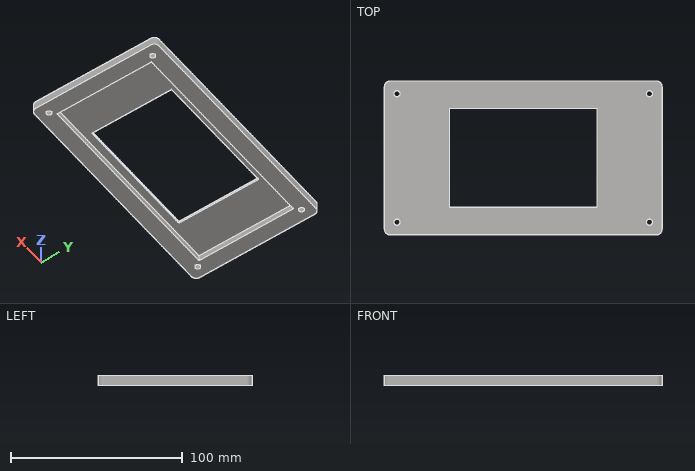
import cadquery as cq

LENGTH = 161.8
WIDTH = 89.6
THICKNESS = 6.0
CORNER_RADIUS = 3.4

WINDOW_LENGTH = 85.8
WINDOW_WIDTH = 57.3

FACE_THICKNESS = 1.6
RIM_WIDTH = 10.8

HOLE_DIAMETER = 3.4
HOLE_EDGE_DISTANCE = 7.5


def make_plate():
    """Solid plate with rounded vertical corners, resting on Z = 0."""
    plate = cq.Workplane("XY").box(LENGTH, WIDTH, THICKNESS, centered=(True, True, False))
    return plate.edges("|Z").fillet(CORNER_RADIUS)


def cut_recess(plate):
    """Hollow the underside inside the rim, up to the thin face."""
    recess = cq.Workplane("XY").box(
        LENGTH - 2 * RIM_WIDTH,
        WIDTH - 2 * RIM_WIDTH,
        THICKNESS - FACE_THICKNESS,
        centered=(True, True, False),
    )
    return plate.cut(recess)


def cut_window(plate):
    """Open the display window through the face."""
    window = cq.Workplane("XY").rect(WINDOW_LENGTH, WINDOW_WIDTH).extrude(THICKNESS)
    return plate.cut(window)


def cut_screw_holes(plate):
    """Drill the four corner holes through the full thickness."""
    spacing_x = LENGTH - 2 * HOLE_EDGE_DISTANCE
    spacing_y = WIDTH - 2 * HOLE_EDGE_DISTANCE
    holes = (
        cq.Workplane("XY")
        .rect(spacing_x, spacing_y, forConstruction=True)
        .vertices()
        .circle(HOLE_DIAMETER / 2)
        .extrude(THICKNESS)
    )
    return plate.cut(holes)


result = cut_screw_holes(cut_window(cut_recess(make_plate())))